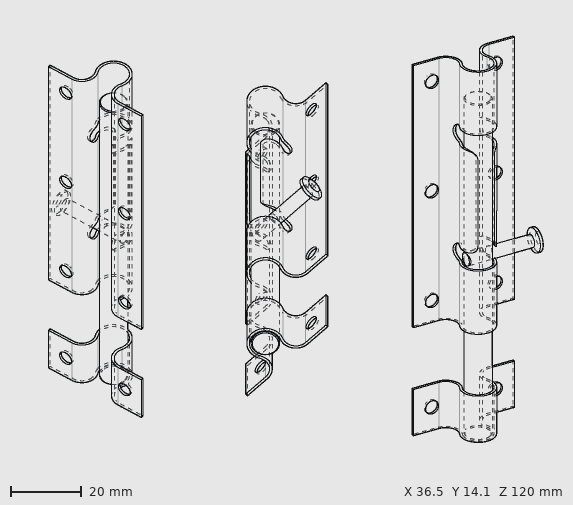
import cadquery as cq
import math


flange_span = 33.0
sheet = 0.8
barrel_radius = 5.3
barrel_y = 8.8
barrel_inner_radius = barrel_radius - sheet
bend_radius = 4.7
bend_inner_radius = bend_radius - sheet
bend_x = math.sqrt((barrel_radius + bend_inner_radius) ** 2 - (barrel_y - bend_radius) ** 2)
joint_angle = math.atan2(barrel_y - bend_radius, bend_x)

total_length = 120.0
housing_length = 85.0
keeper_length = 15.0
housing_bottom = total_length - housing_length
housing_middle = housing_bottom + housing_length / 2

screw_hole_diameter = 4.2
screw_hole_x = 10.5
screw_hole_pitch = 35.5

slot_width = 5.4
slot_pitch = 38.5
slot_end_y = 2.9
cross_slot_heights = [housing_middle + end * slot_pitch / 2 for end in (-1, 1)]
slot_corner_radius = 2.4

bolt_diameter = 8.0
bolt_length = 108.8
bolt_chamfer = 0.3

pin_diameter = 4.0
overall_width = 36.5
knob_tip_x = flange_span / 2 - overall_width
knob_face_diameter = 4.2
knob_diameter = 7.5
knob_dome_length = 0.8
knob_rim_length = 1.0
knob_taper_length = 0.8
pin_end_x = bolt_diameter / 2
pin_z = cross_slot_heights[0] - slot_width / 2 + pin_diameter / 2


def bend_point(side, radius, angle):
    """Point on a bend arc, with the angle measured up from straight down towards the barrel."""
    return (side * (bend_x - radius * math.sin(angle)), bend_radius - radius * math.cos(angle))


def strip(length):
    """Sheet-metal strip of flange, bend, barrel, bend and flange, standing on Z = 0."""
    edge_x = flange_span / 2
    bend_angle = math.pi / 2 + joint_angle
    outer_left = bend_point(-1, bend_inner_radius, bend_angle)
    outer_right = bend_point(1, bend_inner_radius, bend_angle)
    inner_left = bend_point(-1, bend_radius, bend_angle)
    inner_right = bend_point(1, bend_radius, bend_angle)
    return (
        cq.Workplane("XY")
        .moveTo(-edge_x, 0)
        .lineTo(-edge_x, sheet)
        .lineTo(-bend_x, sheet)
        .threePointArc(bend_point(-1, bend_inner_radius, bend_angle / 2), outer_left)
        .threePointArc((0, barrel_y + barrel_radius), outer_right)
        .threePointArc(bend_point(1, bend_inner_radius, bend_angle / 2), (bend_x, sheet))
        .lineTo(edge_x, sheet)
        .lineTo(edge_x, 0)
        .lineTo(bend_x, 0)
        .threePointArc(bend_point(1, bend_radius, bend_angle / 2), inner_right)
        .threePointArc((0, barrel_y + barrel_inner_radius), inner_left)
        .threePointArc(bend_point(-1, bend_radius, bend_angle / 2), (-bend_x, 0))
        .close()
        .extrude(length)
    )


def screw_holes(heights):
    """Cutters for a pair of flange holes at each height."""
    points = [(side * screw_hole_x, z) for side in (-1, 1) for z in heights]
    return cq.Workplane("XZ").pushPoints(points).circle(screw_hole_diameter / 2).extrude(-sheet)


def slot_block(start_y, centre_z, width, length):
    """Box from Y = start_y to the front of the barrel, centred on the barrel along X."""
    depth = barrel_y + barrel_radius - start_y
    return cq.Workplane("XZ", origin=(0, start_y, centre_z)).rect(width, length).extrude(-depth)


def channel_cutter():
    """Lengthwise channel that opens into the cross slots with rounded corners."""
    cutter = slot_block(barrel_y, housing_middle, slot_width, slot_pitch)
    for z in cross_slot_heights:
        cutter = cutter.union(slot_block(barrel_y, z, 2 * barrel_radius, slot_width))
    corner_limit_x = barrel_radius - slot_corner_radius
    inner_corners = cq.selectors.BoxSelector(
        (-corner_limit_x, barrel_y, cross_slot_heights[0]),
        (corner_limit_x, barrel_y + barrel_radius, cross_slot_heights[1]),
    )
    return cutter.edges("|Y").edges(inner_corners).fillet(slot_corner_radius)


def cross_slot_cutter(z):
    """Cross slot through both sides of the barrel, with rounded corners at its deep end."""
    block = slot_block(slot_end_y, z, 2 * barrel_radius, slot_width)
    return block.faces("<Y").edges("|X").fillet(slot_corner_radius)


def make_housing():
    heights = [housing_middle + row * screw_hole_pitch for row in (-1, 0, 1)]
    body = strip(housing_length).translate((0, 0, housing_bottom))
    body = body.cut(screw_holes(heights)).cut(channel_cutter())
    for z in cross_slot_heights:
        body = body.cut(cross_slot_cutter(z))
    return body


def make_keeper():
    return strip(keeper_length).cut(screw_holes([keeper_length / 2]))


def make_pin():
    """Turned pin that passes through the bolt, with a knob at its outer end."""
    rim_start = knob_tip_x + knob_dome_length
    rim_end = rim_start + knob_rim_length
    neck_x = rim_end + knob_taper_length
    return (
        cq.Workplane("XY")
        .moveTo(knob_tip_x, 0)
        .lineTo(knob_tip_x, knob_face_diameter / 2)
        .lineTo(rim_start, knob_diameter / 2)
        .lineTo(rim_end, knob_diameter / 2)
        .lineTo(neck_x, pin_diameter / 2)
        .lineTo(pin_end_x, pin_diameter / 2)
        .lineTo(pin_end_x, 0)
        .close()
        .revolve(360, (0, 0, 0), (1, 0, 0))
        .translate((0, barrel_y, pin_z))
    )


def make_bolt(pin):
    """Round bar chamfered at both ends, with a cross hole that fits the pin."""
    bar = cq.Workplane("XY").center(0, barrel_y).circle(bolt_diameter / 2).extrude(bolt_length)
    return bar.faces("<Z or >Z").chamfer(bolt_chamfer).cut(pin)


housing = make_housing()
keeper = make_keeper()
pin = make_pin()
bolt = make_bolt(pin)

result = cq.Compound.makeCompound([housing.val(), keeper.val(), pin.val(), bolt.val()])